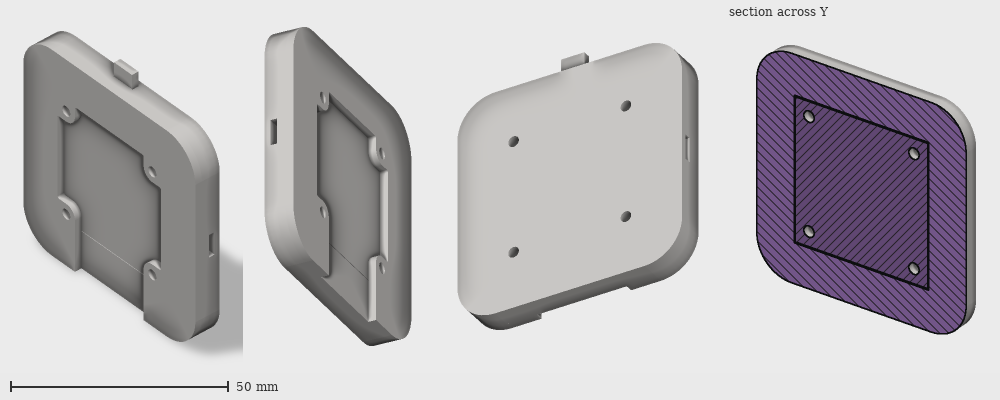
import cadquery as cq

plate_width = 60.0
plate_corner_radius = 10.0
front_thickness = 2.0
middle_thickness = 2.2
back_thickness = 3.3
middle_front_y = front_thickness
back_front_y = front_thickness + middle_thickness

hole_diameter = 2.8
hole_offset = 15.0
hole_land_radius = 3.0

opening_half_width = 18.0
opening_corner_radius = 0.5
notch_edge = hole_offset - hole_land_radius

panel_width = 38.0
panel_gap = 0.2
window_width = panel_width + 2 * panel_gap

pad_width = 5.65
pad_height = 0.2

channel_width = 6.55
channel_depth = 1.7

tongue_width = 6.3
tongue_thickness = 2.0
tongue_protrusion = 4.1
tongue_depth = 10.0
tongue_side_gap = 0.2
plate_top_z = plate_width / 2


def block(width, depth, height, front_y, center_z=0):
    """Box centred on X, with its front face at front_y."""
    return cq.Workplane("XY").box(width, depth, height).translate((0, front_y + depth / 2, center_z))


def screw_holes(front_y, depth):
    """Four cylinders that cut the screw holes through one layer."""
    return (
        cq.Workplane("XZ", origin=(0, front_y, 0))
        .rect(2 * hole_offset, 2 * hole_offset, forConstruction=True)
        .vertices()
        .circle(hole_diameter / 2)
        .extrude(-depth)
    )


def rounded_plate(front_y, thickness):
    plate = block(plate_width, thickness, plate_width, front_y)
    return plate.edges("|Y").fillet(plate_corner_radius)


def make_opening():
    """Cross-shaped cutter with rounded corners and a passage down to the bottom edge."""
    wide_arm = block(2 * opening_half_width, front_thickness, 2 * notch_edge, 0)
    wide_arm = wide_arm.edges("|Y").fillet(opening_corner_radius)

    tall_height = opening_half_width + plate_top_z
    tall_center_z = (opening_half_width - plate_top_z) / 2
    tall_arm = block(2 * notch_edge, front_thickness, tall_height, 0, tall_center_z)
    tall_arm = tall_arm.edges("|Y and >Z").fillet(opening_corner_radius)

    inner_zone = cq.selectors.BoxSelector(
        (-hole_offset, 0, -hole_offset), (hole_offset, front_thickness, hole_offset)
    )
    return wide_arm.union(tall_arm).edges("|Y").edges(inner_zone).fillet(hole_land_radius)


def make_front_plate():
    plate = rounded_plate(0, front_thickness)
    return plate.cut(make_opening()).cut(screw_holes(0, front_thickness))


def make_middle_plate():
    plate = rounded_plate(middle_front_y, middle_thickness)
    return plate.cut(block(window_width, middle_thickness, window_width, middle_front_y))


def make_panel():
    panel = block(panel_width, middle_thickness, panel_width, middle_front_y)
    pad = block(pad_width, pad_height, pad_width, back_front_y)
    return panel.union(pad).cut(screw_holes(middle_front_y, middle_thickness))


def make_back_plate():
    plate = rounded_plate(back_front_y, back_thickness)
    channel = block(plate_width, channel_depth, channel_width, back_front_y)
    slot_width = tongue_width + 2 * tongue_side_gap
    slot_center_z = plate_top_z - tongue_depth / 2
    slot = block(slot_width, tongue_thickness, tongue_depth, back_front_y, slot_center_z)
    return plate.cut(channel).cut(slot).cut(screw_holes(back_front_y, back_thickness))


def make_tongue():
    length = tongue_depth + tongue_protrusion
    center_z = plate_top_z + tongue_protrusion - length / 2
    return block(tongue_width, tongue_thickness, length, back_front_y, center_z)


front_plate = make_front_plate()
middle_plate = make_middle_plate()
panel = make_panel()
back_plate = make_back_plate()
tongue = make_tongue()

result = cq.Compound.makeCompound(
    [front_plate.val(), middle_plate.val(), panel.val(), back_plate.val(), tongue.val()]
)